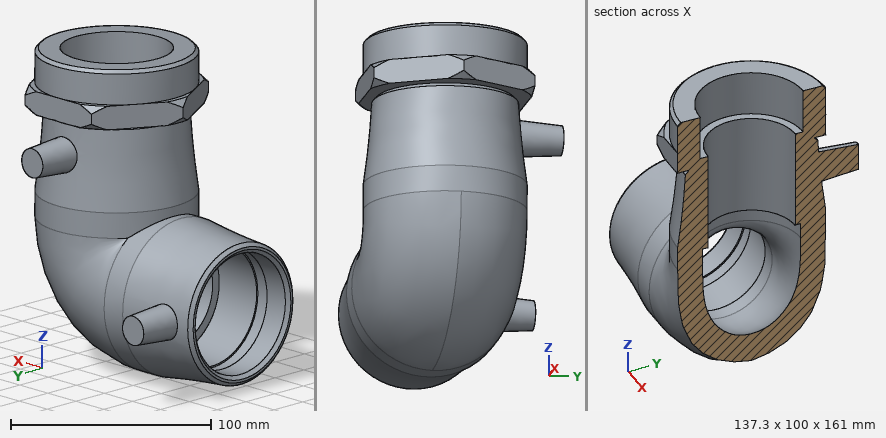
import cadquery as cq
import math

outer_radius = 82.0 / 2
bend_radius = 32.8
arm_length = 90.0
taper_start = 46.0
end_radius = 36.7
end_chamfer = 2.0
taper_sag = 0.5

bore_radius = 26.9
socket_radius = 63.0 / 2
socket_bottom = 40.9
mouth_chamfer = 2.0
groove_start = 67.6
groove_end = 75.0
groove_depth = 0.8

hex_flats = 2 * outer_radius
hex_height = 12.2
hex_chamfer = 3.5
overall_height = 161.0
collar_chamfer = 1.8
fitting_bore_radius = 48.0 / 2
fitting_socket_radius = 56.7 / 2
fitting_socket_depth = 24.5

pin_position = 72.0
pin_base_y = 33.0
overall_depth = 100.0
pin_tip_y = overall_depth - outer_radius
pin_base_radius = 9.5
pin_tip_radius = 7.5

hex_corners = hex_flats / math.cos(math.pi / 6)
hex_top = arm_length + hex_height
fitting_top = overall_height - outer_radius


def to_inlet(arm):
    """Turn a shape built along +Z so that it lies along -X."""
    return arm.rotate((0, 0, 0), (0, 1, 0), -90)


def cylinder(radius, bottom, top):
    return cq.Workplane("XY").workplane(offset=bottom).circle(radius).extrude(top - bottom)


def turn_quarter(section):
    """Sweep a section at the top of the elbow a quarter turn towards the inlet."""
    return section.revolve(90, (-bend_radius, 0, 0), (-bend_radius, 1, 0))


def outer_bend():
    """Quarter torus joining the arms, cut off at its turning axis and built as two mirrored halves."""
    half_chord = math.sqrt(outer_radius**2 - bend_radius**2)
    half_section = (
        cq.Workplane("XY").workplane(offset=bend_radius)
        .moveTo(-bend_radius, 0)
        .lineTo(outer_radius, 0)
        .threePointArc((0, outer_radius), (-bend_radius, half_chord))
        .close()
    )
    half = turn_quarter(half_section)
    return half.union(half.mirror("XZ"), clean=False)


def bore_bend():
    """Quarter torus of the bore."""
    return turn_quarter(cq.Workplane("XY").workplane(offset=bend_radius).circle(bore_radius))


def arm_body():
    """Outlet arm: straight stretch, slightly hollow taper and chamfered end."""
    taper_end = arm_length - end_chamfer
    middle_radius = (outer_radius + end_radius) / 2 - taper_sag
    middle_height = (taper_start + taper_end) / 2
    return (
        cq.Workplane("XZ")
        .moveTo(0, bend_radius)
        .lineTo(outer_radius, bend_radius)
        .lineTo(outer_radius, taper_start)
        .threePointArc((middle_radius, middle_height), (end_radius, taper_end))
        .lineTo(end_radius - end_chamfer, arm_length)
        .lineTo(0, arm_length)
        .close()
        .revolve(360, (0, 0, 0), (0, 1, 0))
    )


def inlet_socket():
    """Socket cutter with a flared mouth and a shallow ring groove, built along +Z."""
    flare = cq.Workplane(cq.Solid.makeCone(
        socket_radius, socket_radius + mouth_chamfer, mouth_chamfer,
        pnt=cq.Vector(0, 0, arm_length - mouth_chamfer)))
    groove = cylinder(socket_radius + groove_depth, groove_start, groove_end)
    return cylinder(socket_radius, socket_bottom, arm_length).union(flare).union(groove)


def outlet_fitting():
    """Hexagon with chamfered corners and a round collar above it."""
    hexagon = (
        cq.Workplane("XY").workplane(offset=arm_length)
        .polygon(6, hex_corners).extrude(hex_height)
    )
    corner_trim = cylinder(hex_corners / 2, arm_length, hex_top).edges().chamfer(hex_chamfer)
    collar = cylinder(outer_radius, hex_top, fitting_top).faces(">Z").edges().chamfer(collar_chamfer)
    return hexagon.intersect(corner_trim).union(collar)


def pin(x, z):
    """Tapered terminal pin pointing along +Y."""
    return cq.Workplane(cq.Solid.makeCone(
        pin_base_radius, pin_tip_radius, pin_tip_y - pin_base_y,
        pnt=cq.Vector(x, pin_base_y, z), dir=cq.Vector(0, 1, 0)))


body = outer_bend().union(arm_body()).union(to_inlet(arm_body()))
body = body.union(outlet_fitting())
for x, z in [(-pin_position, 0), (0, pin_position)]:
    body = body.union(pin(x, z))

bore_arm = cylinder(bore_radius, bend_radius, socket_bottom)
passage = bore_bend().union(bore_arm).union(to_inlet(bore_arm))
passage = passage.union(to_inlet(inlet_socket()))
passage = passage.union(cylinder(fitting_bore_radius, socket_bottom, fitting_top))
passage = passage.union(cylinder(fitting_socket_radius, fitting_top - fitting_socket_depth, fitting_top))

result = body.cut(passage)